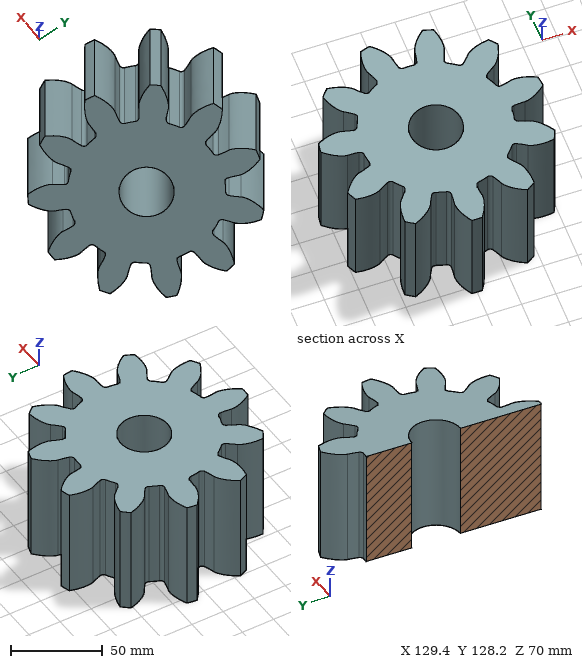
import cadquery as cq
import math

tooth_count = 11
tip_radius = 65.0
root_radius = 43.2
face_width = 70.0
bore_diameter = 30.0
pressure_angle = math.radians(20)
root_fillet = 2.3
flank_samples = 20
first_tooth_angle = -90

module = 2 * tip_radius / (tooth_count + 2)
pitch_radius = module * tooth_count / 2
base_radius = pitch_radius * math.cos(pressure_angle)
base_half_angle = math.pi / (2 * tooth_count) + math.tan(pressure_angle) - pressure_angle
tip_roll = math.sqrt((tip_radius / base_radius) ** 2 - 1)


def flank_point(roll, side):
    """Point on an involute flank of a tooth that points along +X."""
    radius = base_radius * math.sqrt(1 + roll ** 2)
    angle = base_half_angle - (roll - math.atan(roll))
    return (radius * math.cos(angle), side * radius * math.sin(angle))


def make_tooth():
    """Tooth along +X; its foot runs into the gear body."""
    base_x, base_y = flank_point(0, 1)
    foot_x = math.sqrt(root_radius ** 2 - (root_radius * math.sin(base_half_angle)) ** 2)
    arc_radius = (base_x - foot_x) / math.sin(base_half_angle)
    foot_y = base_y - arc_radius * (1 - math.cos(base_half_angle))
    middle_x = foot_x + arc_radius * math.sin(base_half_angle / 2)
    middle_y = foot_y + arc_radius * (1 - math.cos(base_half_angle / 2))
    inner_x = root_radius - module / 2
    return (
        cq.Workplane("XY")
        .moveTo(inner_x, -foot_y)
        .lineTo(foot_x, -foot_y)
        .threePointArc((middle_x, -middle_y), (base_x, -base_y))
        .parametricCurve(lambda t: flank_point(t * tip_roll, -1), N=flank_samples, makeWire=False)
        .threePointArc((tip_radius, 0), flank_point(tip_roll, 1))
        .parametricCurve(lambda t: flank_point((1 - t) * tip_roll, 1), N=flank_samples, makeWire=False)
        .threePointArc((middle_x, middle_y), (foot_x, foot_y))
        .lineTo(inner_x, foot_y)
        .close()
        .extrude(face_width)
    )


gear = cq.Workplane("XY").circle(root_radius).extrude(face_width)
tooth = make_tooth()
for index in range(tooth_count):
    tooth_angle = first_tooth_angle + index * 360 / tooth_count
    gear = gear.union(tooth.rotate((0, 0, 0), (0, 0, 1), tooth_angle))

corner_limit = root_radius + module / 20
root_corners = [
    edge for edge in gear.edges("|Z").vals()
    if math.hypot(edge.Center().x, edge.Center().y) < corner_limit
]
gear = gear.newObject(root_corners).fillet(root_fillet)

result = gear.cut(cq.Workplane("XY").circle(bore_diameter / 2).extrude(face_width))